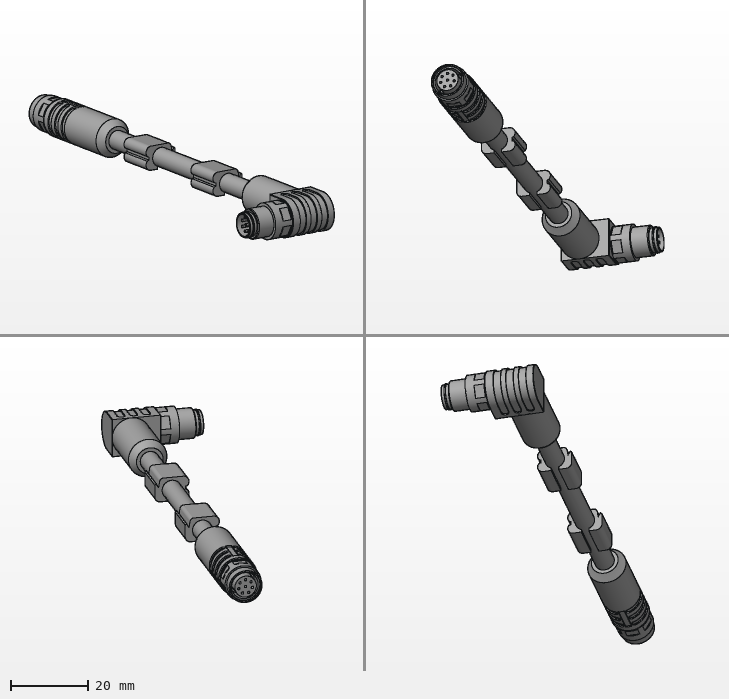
import cadquery as cq
import math

LENGTH = 125.4
CABLE_D = 5.1
BODY_D = 10.3
COLLAR_D = 9.7
NUT_D = 8.8
BOOT_TIP_D = 7.1
BOOT_TAPER = 2.1
GRIP_DEPTH = 0.4

COLLAR_FLAT_LEVEL = 4.5
COLLAR_LIP = 0.3
FLAT_COUNT = 6

CORE_D = 5.8
CONTACT_COUNT = 7
CONTACT_RING_R = 1.9
SOCKET_HOLE_D = 0.6
PIN_D = 0.7

NUT_END = 2.5
SOCKET_FLATS_START = 4.8
SOCKET_BODY_START = 7.5
SOCKET_TAPER_START = 31.6
NECK_LENGTH = 0.3
SOCKET_COLLAR_END = SOCKET_BODY_START - NECK_LENGTH
SOCKET_FLATS_END = SOCKET_COLLAR_END - COLLAR_LIP
BODY_EDGE_CHAMFER = 0.3
MOUTH_D = 8.0
BORE_D = 7.1
MOUTH_DEPTH = 0.8
SOCKET_DEPTH = 5.0
HOLE_DEPTH = 2.5

GROOVE_COUNT = 3
GROOVE_START = 9.7
GROOVE_WIDTH = 1.5
GROOVE_PITCH = 3.0
GROOVE_END_Y = 1.1
MARK_WIDTH = 1.6

PLUG_X = LENGTH - BODY_D / 2
BLOCK_START = 114.6
BLOCK_FRONT = -7.9
BLOCK_CHAMFER = 0.1
PLUG_TAPER_END = 98.2
SLOT_COUNT = 3
SLOT_WIDTH = 2.0
SLOT_PITCH = 3.4
SLOT_TOP_Y = 2.1
SLOT_START = 115.9
PLUG_FLATS_START = BLOCK_FRONT - COLLAR_LIP
PLUG_FLATS_END = -10.8
PLUG_COLLAR_END = -13.2
PLUG_BARREL_D = 8.0
PLUG_BARREL_END = -17.9
PLUG_CHAMFER = 0.3
PLUG_NECK_D = 6.5
RIDGE_D = 6.9
RIDGE_START = -18.8
RIDGE_END = -19.2
PLUG_TIP = -20.1
TIP_CHAMFER = 0.1
PLUG_BORE_DEPTH = 5.6
PIN_RECESS = 0.9

CLIP_LENGTH = 10.0
CLIP_STARTS = (43.6, 74.1)
CLIP_TOP = 3.4
CLIP_BASE = -3.1
CLIP_FRONT = -4.6
CLIP_BACK = 4.5
CLIP_FLAT_FRONT = -2.9
CLIP_FLAT_BACK = 2.4
CLIP_SHOULDER_Z = 1.6
CLIP_FOOT_Y = 3.1
CLIP_FOOT_Z = -1.6
CLIP_OPENING = 2.0
CLIP_OPENING_TOP = -1.5
CLIP_NOTCH_Y = -3.8
CLIP_NOTCH_TOP = 0.5
CLIP_NOTCH_BOTTOM = -0.3
CLIP_NOTCH_MOUTH_Y = -4.3
CLIP_NOTCH_FLARE = 0.3
CLIP_HOOK_TIP = (4.1, 2.0)
CLIP_HOOK_ROOT = (3.5, 0.9)
CLIP_TOP_EDGE = (3.3, 2.4)
CLIP_TOP_BULGE = (3.0, 3.0)
CLIP_BACK_BULGE = (4.1, -2.6)


def round_bar(diameter, start, end):
    """Cylinder along X."""
    return cq.Workplane("YZ", origin=(start, 0, 0)).circle(diameter / 2).extrude(end - start)


def plug_bar(diameter, start, end):
    """Cylinder along -Y on the plug axis."""
    return cq.Workplane("XZ", origin=(PLUG_X, start, 0)).circle(diameter / 2).extrude(start - end)


def boot_taper(base, tip):
    """Cone from the body diameter at X = base to the boot tip diameter at X = tip."""
    outline = [(base, 0), (base, BODY_D / 2), (tip, BOOT_TIP_D / 2), (tip, 0)]
    return cq.Workplane("XY").polyline(outline).close().revolve(360, (0, 0, 0), (1, 0, 0))


def contact_points(first_angle):
    """Centers of all contacts, with the first ring contact at the given angle in degrees."""
    ring = []
    for i in range(CONTACT_COUNT):
        angle = math.radians(first_angle + 360 * i / CONTACT_COUNT)
        ring.append((CONTACT_RING_R * math.cos(angle), CONTACT_RING_R * math.sin(angle)))
    return [(0, 0)] + ring


def collar_flats(length):
    """Ring-shaped cutter along +Z that leaves a hexagon standing."""
    hexagon_d = 2 * COLLAR_FLAT_LEVEL / math.cos(math.pi / FLAT_COUNT)
    ring = cq.Workplane("XY").circle(BODY_D).extrude(length)
    core = cq.Workplane("XY").polygon(FLAT_COUNT, hexagon_d).extrude(length)
    return ring.cut(core)


def socket_grooves():
    """Finger grooves around both sides, with round ends beside a lengthwise mark."""
    reach = BODY_D
    cutter = cq.Workplane("XY")
    for i in range(GROOVE_COUNT):
        x = GROOVE_START + GROOVE_WIDTH / 2 + i * GROOVE_PITCH
        for side in (-1, 1):
            y = side * (GROOVE_END_Y + reach / 2)
            groove = cq.Workplane("XY", origin=(x, y, 0)).slot2D(reach, GROOVE_WIDTH, 90)
            cutter = cutter.union(groove.extrude(BODY_D, both=True))
    mark_length = GROOVE_WIDTH + (GROOVE_COUNT - 1) * GROOVE_PITCH
    mark = cq.Workplane("XY", origin=(GROOVE_START + mark_length / 2, 0, 0))
    cutter = cutter.union(mark.rect(mark_length, MARK_WIDTH).extrude(BODY_D, both=True))
    return cutter.cut(round_bar(BODY_D - 2 * GRIP_DEPTH, 0, LENGTH))


def socket():
    """Straight socket with its nut, collar, gripped body, boot and contact holes."""
    body = round_bar(NUT_D, 0, SOCKET_BODY_START)
    body = body.union(round_bar(COLLAR_D, NUT_END, SOCKET_COLLAR_END))
    flats = collar_flats(SOCKET_FLATS_END - SOCKET_FLATS_START)
    flats = flats.rotate((0, 0, 0), (0, 1, 0), 90).rotate((0, 0, 0), (1, 0, 0), 90)
    body = body.cut(flats.translate((SOCKET_FLATS_START, 0, 0)))
    sleeve = round_bar(BODY_D, SOCKET_BODY_START, SOCKET_TAPER_START).faces("<X").chamfer(BODY_EDGE_CHAMFER)
    body = body.union(sleeve.cut(socket_grooves()))
    body = body.union(boot_taper(SOCKET_TAPER_START, SOCKET_TAPER_START + BOOT_TAPER))
    bore = round_bar(BORE_D, 0, SOCKET_DEPTH)
    bore = bore.union(round_bar(MOUTH_D, 0, MOUTH_DEPTH))
    body = body.cut(bore.cut(round_bar(CORE_D, 0, SOCKET_DEPTH)))
    holes = cq.Workplane("YZ").pushPoints(contact_points(90)).circle(SOCKET_HOLE_D / 2).extrude(HOLE_DEPTH)
    return body.cut(holes)


def block_solid(inset):
    """Angled housing: square at the cable side, half round at the far end."""
    radius = BODY_D / 2 - inset
    depth = BODY_D / 2 - BLOCK_FRONT
    outline = (
        cq.Workplane("XZ", origin=(0, BODY_D / 2, 0))
        .moveTo(BLOCK_START, -radius)
        .lineTo(PLUG_X, -radius)
        .threePointArc((PLUG_X + radius, 0), (PLUG_X, radius))
        .lineTo(BLOCK_START, radius)
        .close()
    )
    return outline.extrude(depth)


def plug():
    """Angled plug with its slotted block, collar, barrel, pins and boot."""
    body = block_solid(0).faces("<Y or >Y").chamfer(BLOCK_CHAMFER)
    reach = BODY_D * 2
    slots = cq.Workplane("XY")
    for i in range(SLOT_COUNT):
        center = (SLOT_START + reach / 2, SLOT_TOP_Y - i * SLOT_PITCH, 0)
        slot = cq.Workplane("XY", origin=center).slot2D(reach, SLOT_WIDTH)
        slots = slots.union(slot.extrude(BODY_D, both=True))
    body = body.cut(slots.cut(block_solid(GRIP_DEPTH)))
    collar = plug_bar(COLLAR_D, BLOCK_FRONT, PLUG_COLLAR_END)
    flats = collar_flats(PLUG_FLATS_START - PLUG_FLATS_END).rotate((0, 0, 0), (1, 0, 0), 90)
    body = body.union(collar.cut(flats.translate((PLUG_X, PLUG_FLATS_START, 0))))
    barrel = plug_bar(PLUG_BARREL_D, PLUG_COLLAR_END, PLUG_BARREL_END).faces("<Y").chamfer(PLUG_CHAMFER)
    body = body.union(barrel)
    body = body.union(plug_bar(PLUG_NECK_D, PLUG_BARREL_END, PLUG_TIP).faces("<Y").chamfer(TIP_CHAMFER))
    body = body.union(plug_bar(RIDGE_D, RIDGE_START, RIDGE_END))
    body = body.cut(plug_bar(CORE_D, PLUG_TIP + PLUG_BORE_DEPTH, PLUG_TIP))
    pins = cq.Workplane("XZ", origin=(PLUG_X, PLUG_TIP + PLUG_BORE_DEPTH, 0)).pushPoints(contact_points(0))
    body = body.union(pins.circle(PIN_D / 2).extrude(PLUG_BORE_DEPTH - PIN_RECESS))
    body = body.union(round_bar(BODY_D, PLUG_TAPER_END, BLOCK_START))
    return body.union(boot_taper(PLUG_TAPER_END, PLUG_TAPER_END - BOOT_TAPER))


def clip(start):
    """Cable clip open at the bottom, with a notch in its front and a hook along its back."""
    outline = (
        cq.Workplane("YZ", origin=(start, 0, 0))
        .moveTo(CLIP_FLAT_BACK, CLIP_TOP)
        .lineTo(CLIP_FLAT_FRONT, CLIP_TOP)
        .threePointArc((CLIP_FRONT, CLIP_SHOULDER_Z), (CLIP_NOTCH_MOUTH_Y, CLIP_NOTCH_TOP + CLIP_NOTCH_FLARE))
        .lineTo(CLIP_NOTCH_Y, CLIP_NOTCH_TOP)
        .lineTo(CLIP_NOTCH_Y, CLIP_NOTCH_BOTTOM)
        .lineTo(CLIP_NOTCH_MOUTH_Y, CLIP_NOTCH_BOTTOM - CLIP_NOTCH_FLARE)
        .threePointArc((CLIP_FRONT, CLIP_FOOT_Z), (-CLIP_FOOT_Y, CLIP_BASE))
        .lineTo(-CLIP_OPENING / 2, CLIP_BASE)
        .lineTo(-CLIP_OPENING / 2, CLIP_OPENING_TOP)
        .lineTo(CLIP_OPENING / 2, CLIP_OPENING_TOP)
        .lineTo(CLIP_OPENING / 2, CLIP_BASE)
        .lineTo(CLIP_FOOT_Y, CLIP_BASE)
        .threePointArc(CLIP_BACK_BULGE, (CLIP_BACK, CLIP_FOOT_Z))
        .lineTo(CLIP_BACK, CLIP_SHOULDER_Z)
        .lineTo(*CLIP_HOOK_TIP)
        .lineTo(*CLIP_HOOK_ROOT)
        .lineTo(*CLIP_TOP_EDGE)
        .threePointArc(CLIP_TOP_BULGE, (CLIP_FLAT_BACK, CLIP_TOP))
        .close()
    )
    return outline.extrude(CLIP_LENGTH)


result = socket().union(plug()).union(round_bar(CABLE_D, SOCKET_TAPER_START, PLUG_TAPER_END))
for clip_start in CLIP_STARTS:
    result = result.union(clip(clip_start))